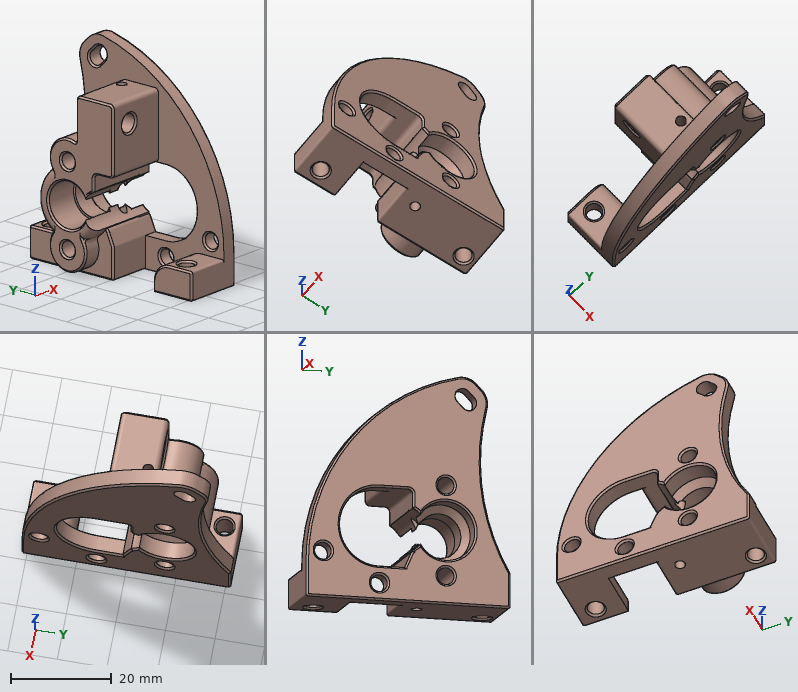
import cadquery as cq
import math


depth = 17.5
plate_thickness = 3.5
plate_face = depth - plate_thickness
base_face = 4.0
bottom = -15.0
left_side = 13.3
right_side = -28.85
edge_chamfer = 0.4
small_round = 0.5
block_round = 1.0

ear_round = 4.0
ear_low = (4.65, 26.3)
ear_shift = 1.2
ear_high = (ear_low[0] - ear_shift, ear_low[1] + ear_shift)
ear_slot_dia = 3.2
notch_centre = (51.3, 14.5)
straight_side_top = -8.0

window_radius = 8.0
window_end = -13.9

bore_dia = 10.0
bore_depth = 7.8
neck_dia = 9.0
relief_dia = 12.0
neck_end = 12.25
housing_radius = 8.0
housing_round = 2.0
mouth_radius = 4.5
mouth_centre = -8.5

lug_offset = 9.2
lug_radius = 4.8
lug_blend = 0.35
ring_blend = 1.65

clamp_left = -2.25
clamp_right = -11.85
clamp_top = 23.5
cross_hole_dia = 4.0
recess_dia = 8.0
recess_depth = 4.0
cross_hole = (5.0, 18.45)

base_top = -8.0
base_blend = [(6.9, base_top), (5.35, -7.65), (4.85, -6.45)]
lip_round = 1.5
foot_left = -18.9
foot_top = -8.75
foot_round = 4.0

screw_dia = 3.4
plate_screws = [(-13.75, -11.5), (-25.35, -5.65)]
base_screw_x = 7.5
base_screws = [(10.3, base_top), (-24.6, foot_top)]
pin_dia = 2.1
pin_hole = (11.5, -4.4)

corner_y = (housing_radius**2 - mouth_radius**2 + mouth_centre**2) / (2 * mouth_centre)
corner_z = math.sqrt(housing_radius**2 - corner_y**2)


def yz(x):
    """Sketch plane across the bore axis, with local axes Y and Z."""
    return cq.Workplane("YZ", origin=(x, 0, 0))


def cylinder(x_start, x_end, radius, y=0, z=0):
    return yz(x_start).center(y, z).circle(radius).extrude(x_end - x_start)


def cone(x_start, x_end, r_start, r_end):
    outline = [(x_start, 0), (x_end, 0), (x_end, r_end), (x_start, r_start)]
    return cq.Workplane("XY").polyline(outline).close().revolve(360, (0, 0, 0), (1, 0, 0))


def round_corner(body, y, z, radius):
    """Round the edge along X that runs nearest to the point (y, z)."""
    nearest = cq.selectors.NearestToPointSelector((depth / 2, y, z))
    return body.edges("|X").edges(nearest).fillet(radius)


def on_circle(centre, radius, angle):
    return (centre[0] + radius * math.cos(angle), centre[1] + radius * math.sin(angle))


def lug_joint(radius):
    """Point (y, z) where the upper lug meets a circle around the bore axis."""
    z = (lug_offset**2 + radius**2 - lug_radius**2) / (2 * lug_offset)
    return math.sqrt(radius**2 - z**2), z


def mouth():
    return cylinder(0, depth, mouth_radius, mouth_centre)


def make_plate():
    across = ear_high[0] - right_side
    up = ear_high[1] - straight_side_top
    outer_radius = (across**2 + up**2 - ear_round**2) / (2 * (across - ear_round))
    outer_centre = (right_side + outer_radius, straight_side_top)
    outer_angle = math.atan2(up, ear_high[0] - outer_centre[0])
    outer_start = on_circle(outer_centre, outer_radius, outer_angle)
    outer_middle = on_circle(outer_centre, outer_radius, (outer_angle + math.pi) / 2)

    notch_y = ear_low[0] - notch_centre[0]
    notch_z = ear_low[1] - notch_centre[1]
    notch_radius = math.hypot(notch_y, notch_z) - ear_round
    notch_top_angle = math.atan2(notch_z, notch_y)
    side_reach = math.acos((notch_centre[0] - left_side) / notch_radius)
    notch_end_angle = math.pi + side_reach
    notch_top = on_circle(notch_centre, notch_radius, notch_top_angle)
    notch_middle = on_circle(notch_centre, notch_radius, (notch_top_angle + notch_end_angle) / 2)
    notch_end = on_circle(notch_centre, notch_radius, notch_end_angle)

    diagonal = math.radians(45)
    high_middle = on_circle(ear_high, ear_round, (outer_angle + diagonal) / 2)
    low_middle = on_circle(ear_low, ear_round, (notch_top_angle - math.pi + diagonal) / 2)
    plate = (
        yz(plate_face)
        .moveTo(right_side, bottom)
        .lineTo(right_side, straight_side_top)
        .threePointArc(outer_middle, outer_start)
        .threePointArc(high_middle, on_circle(ear_high, ear_round, diagonal))
        .lineTo(*on_circle(ear_low, ear_round, diagonal))
        .threePointArc(low_middle, notch_top)
        .threePointArc(notch_middle, notch_end)
        .lineTo(left_side, bottom)
        .close()
        .extrude(plate_thickness)
    )
    for side in (left_side, right_side):
        plate = round_corner(plate, side, bottom, small_round)
    window = (
        yz(plate_face)
        .moveTo(corner_y, -window_radius)
        .lineTo(window_end, -window_radius)
        .threePointArc((window_end - window_radius, 0), (window_end, window_radius))
        .lineTo(corner_y, window_radius)
        .close()
        .extrude(plate_thickness)
    )
    return plate.cut(window)


def make_clamp():
    """Upper lug and clamp block, down to the upper lip of the mouth."""
    outline = [
        (0, 0),
        (0, lug_offset),
        (clamp_left, lug_offset),
        (clamp_left, clamp_top),
        (clamp_right, clamp_top),
        (clamp_right, window_radius),
        (corner_y, window_radius),
        (corner_y, 0),
    ]
    block = yz(0).polyline(outline).close().extrude(depth)
    clamp = block.union(cylinder(0, depth, lug_radius, 0, lug_offset)).cut(mouth())
    wall_foot = lug_offset + math.sqrt(lug_radius**2 - clamp_left**2)
    clamp = round_corner(clamp, clamp_left, wall_foot, lug_blend)
    clamp = round_corner(clamp, corner_y, corner_z, small_round)
    for y, z in [
        (clamp_left, clamp_top),
        (clamp_right, clamp_top),
        (clamp_right, window_radius),
        (corner_y, window_radius),
    ]:
        clamp = round_corner(clamp, y, z, block_round)
    return clamp.faces("<X").edges().chamfer(edge_chamfer)


def make_base():
    """Block under the bore with a sloping side towards the window."""
    base = (
        yz(base_face)
        .moveTo(left_side, bottom)
        .lineTo(left_side, base_top)
        .lineTo(0, base_top)
        .lineTo(0, -corner_z)
        .lineTo(corner_y, -corner_z)
        .lineTo(mouth_centre, base_top)
        .lineTo(mouth_centre, bottom)
        .close()
        .extrude(depth - base_face)
    )
    base = round_corner(base, mouth_centre, base_top, block_round)
    base = base.cut(mouth())
    base = round_corner(base, corner_y, -corner_z, lip_round)
    for y, z in [(left_side, bottom), (left_side, base_top), (mouth_centre, bottom)]:
        base = round_corner(base, y, z, small_round)
    base = base.faces("<X").edges().chamfer(edge_chamfer)
    blend_bottom = base_top - edge_chamfer
    blend = (
        yz(base_face)
        .moveTo(0, blend_bottom)
        .lineTo(base_blend[0][0], blend_bottom)
        .lineTo(*base_blend[0])
        .threePointArc(*base_blend[1:])
        .lineTo(0, base_blend[-1][1])
        .close()
        .extrude(plate_face - base_face)
    )
    return base.union(blend)


def make_foot():
    width = foot_left - right_side
    height = foot_top - bottom
    foot = (
        yz(base_face)
        .center(right_side + width / 2, bottom + height / 2)
        .rect(width, height)
        .extrude(depth - base_face)
    )
    foot = round_corner(foot, foot_left, foot_top, foot_round)
    for z in (foot_top, bottom):
        foot = round_corner(foot, right_side, z, small_round)
    return foot.faces("<X").edges().chamfer(edge_chamfer)


def make_lug():
    lug = cylinder(0, depth, lug_radius, 0, lug_offset)
    return lug.faces("<X").edges().chamfer(edge_chamfer)


def make_lug_neck():
    """Front end of the upper lug, flowing into the flat ring of the housing face."""
    ring_radius = housing_radius - housing_round
    joint_y, joint_z = lug_joint(ring_radius)
    neck = cylinder(0, housing_round, lug_radius, 0, lug_offset)
    neck = neck.union(cylinder(0, housing_round, ring_radius))
    for y in (joint_y, -joint_y):
        neck = round_corner(neck, y, joint_z, ring_blend)
    above_ring = cq.selectors.BoxSelector(
        (-0.45, -lug_radius, ring_radius / 2),
        (0.45, lug_radius, 2 * lug_offset),
    )
    return neck.faces("<X").edges(above_ring).chamfer(edge_chamfer)


def make_barrel():
    """Round bore housing with a lug above and below, blended together."""
    barrel = cylinder(0, depth, housing_radius)
    barrel = barrel.faces("<X").edges().fillet(housing_round)
    lug = make_lug()
    barrel = barrel.union(lug).union(lug.mirror("XY"))
    joint_y, joint_z = lug_joint(housing_radius)
    for y in (joint_y, -joint_y):
        for z in (joint_z, -joint_z):
            barrel = round_corner(barrel, y, z, block_round)
    neck = make_lug_neck()
    return barrel.union(neck).union(neck.mirror("XY"))


def make_bore():
    bore_radius = bore_dia / 2
    neck_radius = neck_dia / 2
    relief_radius = relief_dia / 2
    relief_start = neck_end + relief_radius - neck_radius
    return (
        cylinder(0, bore_depth, bore_radius)
        .union(cone(0, edge_chamfer, bore_radius + edge_chamfer, bore_radius))
        .union(cylinder(0, depth, neck_radius))
        .union(cone(neck_end, relief_start, neck_radius, relief_radius))
        .union(cylinder(relief_start, depth, relief_radius))
    )


def through_hole(plane, length, diameter):
    """Round hole along the normal of the plane, chamfered at both ends."""
    wide = diameter / 2 + edge_chamfer
    start = cq.Workplane(plane)
    end = start.workplane(offset=-length, invert=True)
    return (
        start.circle(diameter / 2)
        .extrude(length)
        .union(start.circle(wide).extrude(edge_chamfer, taper=45))
        .union(end.circle(wide).extrude(edge_chamfer, taper=45))
    )


def hole_along_x(x_start, y, z):
    return through_hole(cq.Plane((x_start, y, z), (0, 1, 0), (1, 0, 0)), depth - x_start, screw_dia)


def hole_along_z(y, top):
    return through_hole(cq.Plane((base_screw_x, y, bottom)), top - bottom, screw_dia)


def make_cross_hole():
    """Hole across the clamp block with a round recess at its inner end."""
    x, z = cross_hole
    plane = cq.Plane((x, clamp_right, z), (1, 0, 0), (0, 1, 0))
    hole = through_hole(plane, clamp_left - clamp_right, cross_hole_dia)
    recess_plane = cq.Plane((x, clamp_left, z), (1, 0, 0), (0, -1, 0))
    recess = cq.Workplane(recess_plane).circle(recess_dia / 2).extrude(recess_depth)
    rim = cq.Workplane(recess_plane).circle(recess_dia / 2 + edge_chamfer)
    return hole.union(recess).union(rim.extrude(edge_chamfer, taper=45))


def make_pin_hole():
    x, y = pin_hole
    start = cq.Workplane("XY", origin=(x, y, bottom))
    return start.circle(pin_dia / 2).extrude(clamp_top - bottom)


def make_ear_slot():
    middle = ((ear_low[0] + ear_high[0]) / 2, (ear_low[1] + ear_high[1]) / 2)
    travel = ear_shift * math.sqrt(2)
    wide = ear_slot_dia + 2 * edge_chamfer
    start = yz(plate_face).center(*middle)
    slot = start.slot2D(travel + ear_slot_dia, ear_slot_dia, 135).extrude(plate_thickness)
    return slot.union(start.slot2D(travel + wide, wide, 135).extrude(edge_chamfer, taper=45))


body = make_plate()
for piece in (make_barrel(), make_base(), make_clamp(), make_foot()):
    body = body.union(piece)
body = body.cut(mouth()).cut(make_bore())
body = body.faces(">X").edges().chamfer(edge_chamfer)

for y, z in plate_screws:
    body = body.cut(hole_along_x(plate_face, y, z))
for z in (lug_offset, -lug_offset):
    body = body.cut(hole_along_x(0, 0, z))
for y, top in base_screws:
    body = body.cut(hole_along_z(y, top))
body = body.cut(make_cross_hole()).cut(make_pin_hole()).cut(make_ear_slot())
result = body